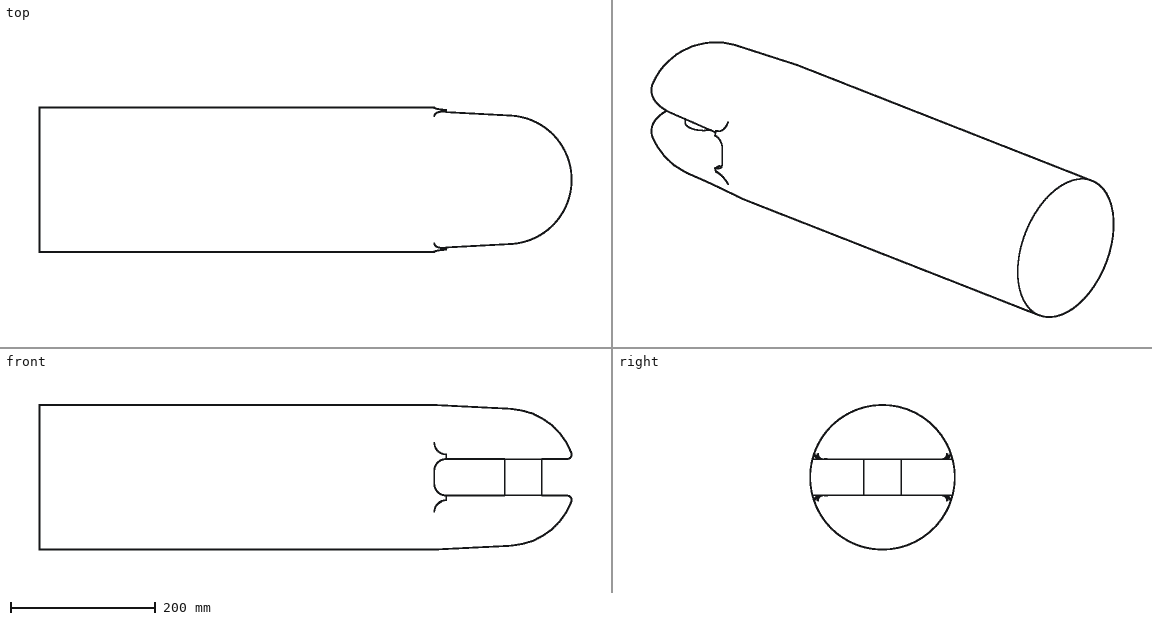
import cadquery as cq
import math

length = 735.0
body_radius = 100.0
shoulder_x = 545.5
sphere_radius = 95.0

slot_half_height = 25.0
slot_corner_radius = 16.0
cheek_edge_radius = 6.5
pin_x = 668.0
pin_diameter = 51.5
pin_embed = 7.0

rim_center_reach = math.sqrt(
    (sphere_radius - cheek_edge_radius) ** 2 - (slot_half_height + cheek_edge_radius) ** 2
)
sphere_center_x = length - cheek_edge_radius - rim_center_reach

shoulder_back = sphere_center_x - shoulder_x
shoulder_distance = math.hypot(shoulder_back, body_radius)
tangent_angle = math.atan2(body_radius, -shoulder_back) - math.acos(sphere_radius / shoulder_distance)
nose_x = sphere_center_x + sphere_radius * math.cos(tangent_angle)
nose_radius = sphere_radius * math.sin(tangent_angle)
tip_x = sphere_center_x + sphere_radius
arc_mid = sphere_radius * math.sqrt(0.5)


def make_body():
    """Plain round bar, up to the shoulder."""
    return cq.Workplane("YZ").circle(body_radius).extrude(shoulder_x)


def make_cheek():
    """Upper half of the tapered, round-nosed end, with its flat face's rim rounded."""
    nose = (
        cq.Workplane("XZ")
        .moveTo(shoulder_x, 0)
        .lineTo(shoulder_x, body_radius)
        .lineTo(nose_x, nose_radius)
        .threePointArc((sphere_center_x + arc_mid, arc_mid), (tip_x, 0))
        .close()
        .revolve(360, (0, 0, 0), (1, 0, 0))
    )
    above_slot = (
        cq.Workplane("XY")
        .workplane(offset=slot_half_height)
        .rect(2 * length + 2 * body_radius, 2 * body_radius)
        .extrude(body_radius)
    )
    cheek = nose.intersect(above_slot)
    rim = cheek.faces("<Z").edges("not <X")
    return cheek.newObject(rim.vals()).fillet(cheek_edge_radius)


def make_corner_web():
    """Full-diameter web that rounds the slot's end corner and runs out onto the cheek."""
    web_end_x = shoulder_x + slot_corner_radius
    inner_z = slot_half_height - slot_corner_radius
    cheek_z = slot_half_height + cheek_edge_radius
    outer_z = cheek_z + slot_corner_radius
    arc_rise = slot_corner_radius * math.sqrt(0.5)
    arc_x = web_end_x - arc_rise
    web = (
        cq.Workplane("XZ")
        .moveTo(shoulder_x, inner_z)
        .threePointArc((arc_x, inner_z + arc_rise), (web_end_x, slot_half_height))
        .lineTo(web_end_x, cheek_z)
        .threePointArc((arc_x, outer_z - arc_rise), (shoulder_x, outer_z))
        .close()
        .extrude(body_radius, both=True)
    )
    bar = cq.Workplane("YZ").circle(body_radius).extrude(length)
    return web.intersect(bar)


def make_pin():
    """Cross pin, sunk slightly into both cheeks."""
    return (
        cq.Workplane("XY")
        .center(pin_x, 0)
        .circle(pin_diameter / 2)
        .extrude(slot_half_height + pin_embed, both=True)
    )


upper_end = make_cheek().union(make_corner_web())
lower_end = upper_end.mirror("XY")
result = make_body().union(upper_end).union(lower_end).union(make_pin())